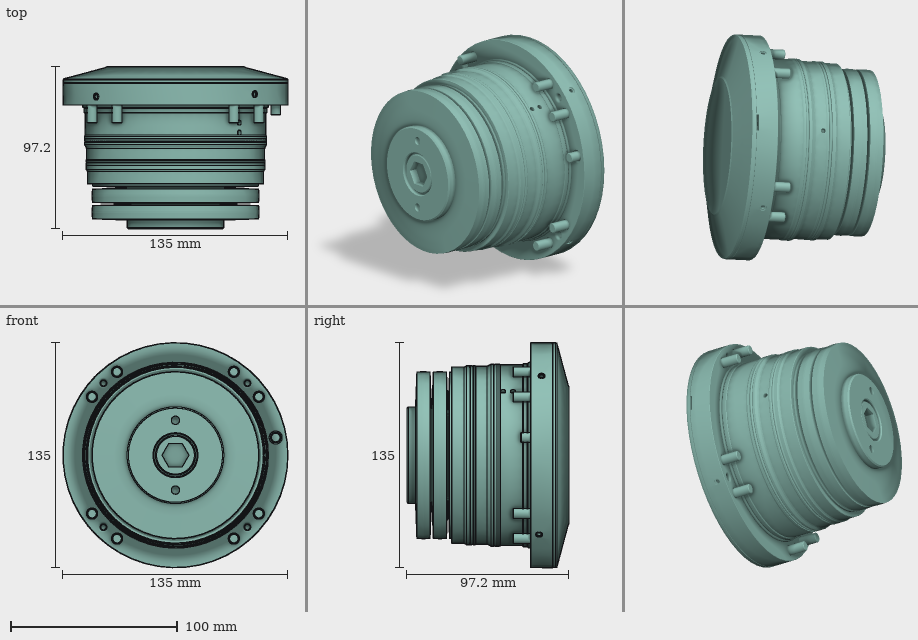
import cadquery as cq
import math


flange_radius = 67.5
overall_length = 97.2
cap_height = 23.1
cap_flat_radius = 41.0
cap_flat_bevel_width = 1.1
cap_flat_bevel_height = 0.5
cap_edge_depth = -15.8
cap_edge_bevel_width = 0.3
cap_edge_bevel_height = 0.8
flange_edge_bevel = 0.2
seam_depth = -13.2
seam_width = 0.4
seam_cut = 0.5
pry_notch_diameter = 10.0
pry_notch_length = 1.4
pry_notch_angle = 180

collar_radius = 55.0
collar_start = 1.8
collar_end = 4.7
collar_bevel = 0.4
sleeve_radius = 54.3
rear_land_start = 18.0
waist_start = 26.0
waist_radius = 53.5
front_land_start = 32.7
nose_start = 39.8
nose_radius = 52.9
nose_end = 47.4
nose_bevel = 0.3

face_ring_section = 1.8
face_ring_radius = 55.8
face_ring_depth = 0.7
land_ring_section = 1.6
ring_side_gap = 0.07
groove_floor_drop = 1.4
groove_bevel = 0.4
rear_land_radius = 54.7
front_land_radius = 53.7
rear_lead_in_length = 0.8
front_lead_in_length = 0.5
rear_groove_start = 20.1
front_groove_start = 34.5
rear_land_end = 23.6
rear_step_depth = 25.2
rear_step_radius = 53.7
front_land_end = 38.5
front_step_depth = 39.0
front_step_radius = 53.3

disc_diameter = 99.8
disc_radius = disc_diameter / 2
disc_crown_height = 0.3
disc_face_angle = 2.2
disc_width = 8.0
disc_pitch = 9.9
first_disc_start = 50.4
disc_crown_width = 1.0
disc_count = 2
seat_end = 48.6
neck_radius = 53.3 / 2

boss_radius = 29.0
boss_end = overall_length - cap_height
boss_bevel = 0.8
screw_bore_radius = 13.0
screw_bore_bevel = 0.5
screw_bore_depth = 2.7
screw_head_recess = 0.8
screw_head_radius = 24.0 / 2
screw_head_bevel = 0.7
screw_head_depth = boss_end - screw_head_recess
hex_across_flats = 14.0
hex_depth = 5.0
spanner_hole_diameter = 5.0
spanner_hole_offset = 20.9
spanner_hole_depth = 5.4
spanner_hole_angles = [90, 270]

bolt_circle_radius = 61.0
quarter_angles = [45, 135, 225, 315]
bolt_spread = 10
bolt_diameter = 6.0
bolt_length = 10.7
bolt_bevel = 0.4
bolt_hole_diameter = 6.8
locating_pin_angle = 10
locating_pin_length = 6.0
pin_hole_diameter = 6.2
pin_countersink_diameter = 7.8
clearance_depth = 2.7
tapped_mouth_diameter = 6.8
tapped_hole_diameter = 4.0
tapped_hole_depth = 4.0
pilot_diameter = 3.2
pilot_depth = 8.1
drill_tip_angle = 118

set_screw_hole_diameter = 4.0
set_screw_recess = 0.7
set_screw_bore_diameter = 2.5
set_screw_bore_depth = 2.7
set_screw_depth = -5.1
raised_set_screw_depth = -6.6
raised_set_screw_angle = 45
sleeve_hole_diameter = 3.0
sleeve_hole_cut = 2.7
sleeve_hole_depths = [10.5, 16.5]
sleeve_hole_angle = 45
waist_hole_depth = 30.5
waist_hole_angle = 180


def turned(outline):
    """Solid of revolution about Y from (radius, depth) points, closed along the axis."""
    points = [(radius, -depth) for radius, depth in outline]
    axis_points = [(0, points[-1][1]), (0, points[0][1])]
    profile = cq.Workplane("XY").polyline(points + axis_points).close()
    return profile.revolve(360, (0, 0, 0), (0, 1, 0))


def sealing_ring(outer_radius, section, depth):
    """Ring of round section about Y, its seam on the side nearest the axis."""
    centre_radius = outer_radius - section / 2
    plane = cq.Plane(origin=(centre_radius, -depth, 0), xDir=(-1, 0, 0), normal=(0, 0, 1))
    profile = cq.Workplane(plane).circle(section / 2)
    return profile.revolve(360, (centre_radius, 0, 0), (centre_radius, 1, 0))


def facing_plane(radius, angle, depth):
    """Plane at a polar position about Y, with its normal pointing to +Y (into the part)."""
    turn = math.radians(angle)
    origin = (radius * math.cos(turn), -depth, radius * math.sin(turn))
    return cq.Workplane(cq.Plane(origin=origin, xDir=(1, 0, 0), normal=(0, 1, 0)))


def cone_on_face(radius, angle, depth, start_diameter, end_diameter):
    """45 degree cone that narrows from a face towards +Y."""
    height = (start_diameter - end_diameter) / 2
    base = facing_plane(radius, angle, depth).circle(start_diameter / 2)
    return base.workplane(offset=height).circle(end_diameter / 2).loft()


def rounded_mouth(radius, angle, outer_diameter, inner_diameter):
    """Flared mouth on the mounting face that curves smoothly down into a hole."""
    outer = outer_diameter / 2
    inner = inner_diameter / 2
    curve = outer - inner
    middle = (outer - curve * math.sin(math.pi / 4), curve - curve * math.cos(math.pi / 4))
    mouth = (
        cq.Workplane("XY")
        .moveTo(0, 0)
        .lineTo(outer, 0)
        .threePointArc(middle, (inner, curve))
        .lineTo(0, curve)
        .close()
        .revolve(360, (0, 0, 0), (0, 1, 0))
    )
    turn = math.radians(angle)
    return mouth.translate((radius * math.cos(turn), 0, radius * math.sin(turn)))


def drilled_hole(radius, angle, depth, diameter, length):
    """Blind hole towards +Y with a drill tip."""
    bore = facing_plane(radius, angle, depth).circle(diameter / 2).extrude(length)
    tip_height = diameter / 2 / math.tan(math.radians(drill_tip_angle / 2))
    tip = (
        cq.Workplane("XY")
        .polyline([(0, 0), (diameter / 2, 0), (0, tip_height)])
        .close()
        .revolve(360, (0, 0, 0), (0, 1, 0))
    )
    turn = math.radians(angle)
    tip = tip.translate((radius * math.cos(turn), length - depth, radius * math.sin(turn)))
    return bore.union(tip)


def radial_hole(surface_radius, angle, depth, diameter, cut):
    """Flat-bottomed hole sunk towards the axis from a turned surface."""
    turn = math.radians(angle)
    outward = (math.cos(turn), 0, math.sin(turn))
    floor = surface_radius - cut
    origin = (floor * outward[0], -depth, floor * outward[2])
    plane = cq.Plane(origin=origin, xDir=(0, 1, 0), normal=outward)
    return cq.Workplane(plane).circle(diameter / 2).extrude(2 * cut)


def make_flange():
    seam_front = seam_depth + seam_width / 2
    seam_back = seam_depth - seam_width / 2
    return turned([
        (cap_flat_radius, -cap_height),
        (cap_flat_radius + cap_flat_bevel_width, cap_flat_bevel_height - cap_height),
        (flange_radius - cap_edge_bevel_width, cap_edge_depth),
        (flange_radius, cap_edge_depth + cap_edge_bevel_height),
        (flange_radius, seam_back),
        (flange_radius - seam_cut, seam_back),
        (flange_radius - seam_cut, seam_front),
        (flange_radius, seam_front),
        (flange_radius, -flange_edge_bevel),
        (flange_radius - flange_edge_bevel, 0),
    ])


def land_groove(land_radius, start, start_bevel, end_bevel):
    """Outline of a square groove in a sealing land, with each mouth edge bevelled or sharp."""
    floor = land_radius - groove_floor_drop
    end = start + land_ring_section + 2 * ring_side_gap
    points = []
    if start_bevel:
        points.append((land_radius, start - start_bevel))
    points += [
        (land_radius - start_bevel, start),
        (floor, start),
        (floor, end),
        (land_radius - end_bevel, end),
    ]
    if end_bevel:
        points.append((land_radius, end + end_bevel))
    return points


def make_sleeve():
    outline = [
        (sleeve_radius, 0),
        (sleeve_radius, collar_start),
        (collar_radius - collar_bevel, collar_start),
        (collar_radius, collar_start + collar_bevel),
        (collar_radius, collar_end - collar_bevel),
        (collar_radius - collar_bevel, collar_end),
        (sleeve_radius, collar_end),
        (sleeve_radius, rear_land_start),
        (rear_land_radius, rear_land_start + rear_lead_in_length),
    ]
    outline += land_groove(rear_land_radius, rear_groove_start, 0, groove_bevel)
    outline += [
        (rear_land_radius, rear_land_end),
        (rear_step_radius, rear_step_depth),
        (waist_radius, waist_start),
        (waist_radius, front_land_start),
        (front_land_radius, front_land_start + front_lead_in_length),
    ]
    outline += land_groove(front_land_radius, front_groove_start, groove_bevel, 0)
    outline += [
        (front_land_radius, front_land_end),
        (front_step_radius, front_step_depth),
        (nose_radius, nose_start),
        (nose_radius, nose_end - nose_bevel),
        (nose_radius - nose_bevel, nose_end),
    ]
    sleeve = turned(outline)
    sleeve = sleeve.union(sealing_ring(face_ring_radius, face_ring_section, face_ring_depth))
    for radius, groove_start in [
        (rear_land_radius, rear_groove_start),
        (front_land_radius, front_groove_start),
    ]:
        ring_depth = groove_start + ring_side_gap + land_ring_section / 2
        sleeve = sleeve.union(sealing_ring(radius, land_ring_section, ring_depth))
    return sleeve


def make_discs():
    """Conical seat and clamping discs, joined by a narrower neck."""
    rise = (disc_radius - neck_radius) * math.tan(math.radians(disc_face_angle))
    outline = [(disc_radius, nose_end), (disc_radius, seat_end), (neck_radius, seat_end + rise)]
    for index in range(disc_count):
        start = first_disc_start + index * disc_pitch
        end = start + disc_width
        crown_start = start + (disc_width - disc_crown_width) / 2
        outline += [
            (neck_radius, start - rise),
            (disc_radius, start),
            (disc_radius + disc_crown_height, crown_start),
            (disc_radius + disc_crown_height, crown_start + disc_crown_width),
            (disc_radius, end),
            (neck_radius, end + rise),
        ]
    return turned(outline)


def make_boss():
    last_disc_end = first_disc_start + (disc_count - 1) * disc_pitch + disc_width
    boss = turned([
        (boss_radius, last_disc_end),
        (boss_radius, boss_end - boss_bevel),
        (boss_radius - boss_bevel, boss_end),
    ])
    bore = turned([
        (screw_bore_radius + screw_bore_bevel, boss_end),
        (screw_bore_radius, boss_end - screw_bore_bevel),
        (screw_bore_radius, boss_end - screw_bore_depth),
    ])
    screw = turned([
        (screw_head_radius, boss_end - screw_bore_depth),
        (screw_head_radius, screw_head_depth - screw_head_bevel),
        (screw_head_radius - screw_head_bevel, screw_head_depth),
    ])
    return boss.cut(bore).union(screw)


def cut_boss_holes(body):
    hex_across_corners = hex_across_flats / math.cos(math.radians(30))
    socket = facing_plane(0, 0, screw_head_depth).polygon(6, hex_across_corners).extrude(hex_depth)
    body = body.cut(socket)
    for angle in spanner_hole_angles:
        hole = drilled_hole(
            spanner_hole_offset, angle, boss_end, spanner_hole_diameter, spanner_hole_depth
        )
        body = body.cut(hole)
    return body


def make_stud(angle, length):
    """Bevelled pin that stands out of the mounting face from the bottom of its hole."""
    stud = facing_plane(bolt_circle_radius, angle, length).circle(bolt_diameter / 2)
    return stud.extrude(length + clearance_depth).faces("<Y").chamfer(bolt_bevel)


def add_bolts(body):
    for quarter in quarter_angles:
        for angle in (quarter - bolt_spread, quarter + bolt_spread):
            hole = facing_plane(bolt_circle_radius, angle, 0).circle(bolt_hole_diameter / 2)
            body = body.cut(hole.extrude(clearance_depth))
            body = body.union(make_stud(angle, bolt_length))
    return body


def add_locating_pin(body):
    hole = facing_plane(bolt_circle_radius, locating_pin_angle, 0).circle(pin_hole_diameter / 2)
    countersink = cone_on_face(
        bolt_circle_radius, locating_pin_angle, 0, pin_countersink_diameter, pin_hole_diameter
    )
    body = body.cut(hole.extrude(clearance_depth)).cut(countersink)
    return body.union(make_stud(locating_pin_angle, locating_pin_length))


def cut_tapped_holes(body):
    for angle in quarter_angles:
        mouth = rounded_mouth(
            bolt_circle_radius, angle, tapped_mouth_diameter, tapped_hole_diameter
        )
        hole = facing_plane(bolt_circle_radius, angle, 0).circle(tapped_hole_diameter / 2)
        pilot = drilled_hole(bolt_circle_radius, angle, 0, pilot_diameter, pilot_depth)
        body = body.cut(mouth).cut(hole.extrude(tapped_hole_depth)).cut(pilot)
    return body


def cut_radial_holes(body):
    for angle in quarter_angles:
        depth = raised_set_screw_depth if angle == raised_set_screw_angle else set_screw_depth
        recess = radial_hole(flange_radius, angle, depth, set_screw_hole_diameter, set_screw_recess)
        bore = radial_hole(
            flange_radius, angle, depth, set_screw_bore_diameter, set_screw_bore_depth
        )
        body = body.cut(recess).cut(bore)
    for depth in sleeve_hole_depths:
        hole = radial_hole(
            sleeve_radius, sleeve_hole_angle, depth, sleeve_hole_diameter, sleeve_hole_cut
        )
        body = body.cut(hole)
    waist_hole = radial_hole(
        waist_radius, waist_hole_angle, waist_hole_depth, sleeve_hole_diameter, sleeve_hole_cut
    )
    return body.cut(waist_hole)


def cut_pry_notch(body):
    """Round notch in the rim on the -X side, opening into the seam."""
    notch = facing_plane(flange_radius, pry_notch_angle, seam_depth + pry_notch_length)
    return body.cut(notch.circle(pry_notch_diameter / 2).extrude(pry_notch_length))


body = make_flange().union(make_sleeve()).union(make_discs()).union(make_boss())
body = cut_boss_holes(body)
body = cut_tapped_holes(body)
body = add_bolts(body)
body = add_locating_pin(body)
body = cut_radial_holes(body)
result = cut_pry_notch(body)